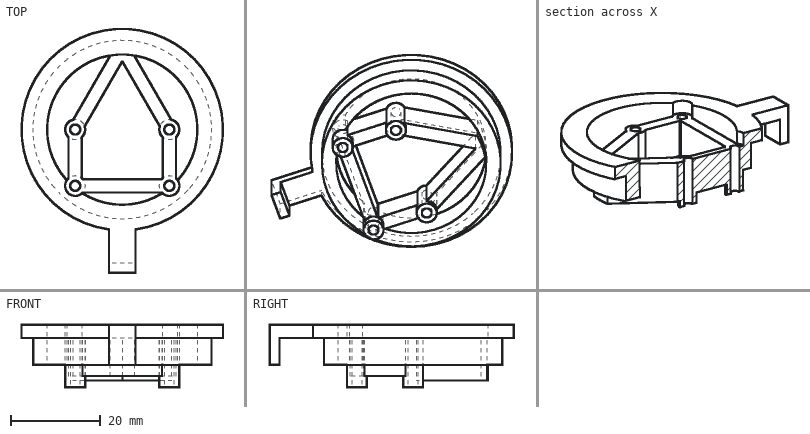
import cadquery as cq
import math

flange_diameter = 45.0
flange_thickness = 3.0
body_diameter = 39.9
bore_diameter = 33.5
ring_height = 9.0

arm_width = 6.0
arm_reach = 32.0
hook_thickness = 2.2

post_diameter = 4.5
post_hole_diameter = 2.2
post_x = 10.5
lower_post_y = -12.55
post_bottom = -14.0
post_positions = [(side * post_x, y) for side in (-1, 1) for y in (0.0, lower_post_y)]

frame_top = -flange_thickness
bar_width = 3.0
straight_bar_bottom = -11.5
roof_bar_bottom = -12.5
roof_angle = 60.0
roof_peak_y = post_x * math.tan(math.radians(roof_angle))


def cylinders(positions, diameter, top, bottom):
    """Upright cylinders of one diameter between two heights."""
    return (
        cq.Workplane("XY")
        .workplane(offset=bottom)
        .pushPoints(positions)
        .circle(diameter / 2)
        .extrude(top - bottom)
    )


def box_between(low, high):
    """Box spanning two opposite corners."""
    sizes = [b - a for a, b in zip(low, high)]
    return cq.Workplane("XY").box(*sizes, centered=False).translate(low)


def bar(start, end, bottom):
    """Straight frame bar whose centre line runs from start to end."""
    run_x = end[0] - start[0]
    run_y = end[1] - start[1]
    return (
        cq.Workplane("XY")
        .box(math.hypot(run_x, run_y), bar_width, frame_top - bottom, centered=(False, True, False))
        .rotate((0, 0, 0), (0, 0, 1), math.degrees(math.atan2(run_y, run_x)))
        .translate((start[0], start[1], bottom))
    )


def make_ring():
    centre = [(0, 0)]
    flange = cylinders(centre, flange_diameter, 0, -flange_thickness)
    body = cylinders(centre, body_diameter, -flange_thickness, -ring_height)
    return flange.union(body)


def make_arm():
    """Arm at flange level, ending in a hook as deep as the ring."""
    half_width = arm_width / 2
    beam = box_between((-half_width, -arm_reach, -flange_thickness), (half_width, -bore_diameter / 2, 0))
    hook = box_between(
        (-half_width, -arm_reach, -ring_height),
        (half_width, -arm_reach + hook_thickness, 0),
    )
    return beam.union(hook)


def make_frame():
    """Base and side bars, plus two roof bars cut off at the bore wall."""
    frame = bar((-post_x, lower_post_y), (post_x, lower_post_y), straight_bar_bottom)
    roof = cq.Workplane("XY")
    for side in (-1, 1):
        x = side * post_x
        frame = frame.union(bar((x, lower_post_y), (x, 0), straight_bar_bottom))
        roof = roof.union(bar((x, 0), (0, roof_peak_y), roof_bar_bottom))
    roof = roof.intersect(cylinders([(0, 0)], bore_diameter, frame_top, roof_bar_bottom))
    return frame.union(roof)


bore = cylinders([(0, 0)], bore_diameter, 0, -ring_height)
post_clearance = cylinders(post_positions, post_diameter, 0, frame_top)
posts = cylinders(post_positions, post_diameter, frame_top, post_bottom)
post_holes = cylinders(post_positions, post_hole_diameter, 0, post_bottom)

result = (
    make_ring()
    .union(make_arm())
    .cut(bore)
    .cut(post_clearance)
    .union(make_frame())
    .union(posts)
    .cut(post_holes)
)